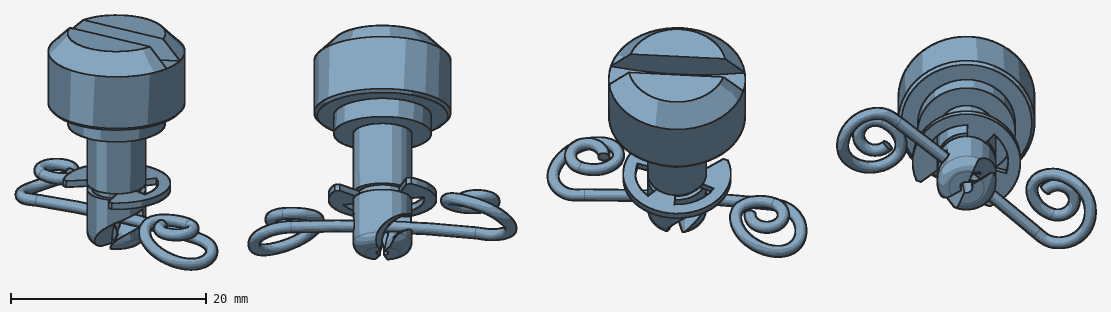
import cadquery as cq
import math

total_height = 23.0
head_radius = 6.993
head_height = 8.0
head_top_chamfer = 2.0
head_bottom_chamfer = 0.3
collar_radius = 5.0
collar_height = 2.0
shank_radius = 3.0
tip_fillet = 1.2
collar_top = total_height - head_height
shank_top = collar_top - collar_height

slot_angle = 20.0
slot_width = 2.52
slot_end_depth = head_top_chamfer
slot_floor_radius = 33.65

groove_radius = 2.5
ring_bottom = 5.8
ring_thickness = 0.7
ring_radius = 5.52
relief_radius = 4.25
back_lug_angle = 110.0
prong_relief_angle = 175.0
tip_y = -3.75
tip_inner_x = 3.53
mouth_half_width = 2.13

cam_end_angle = 26.0
cam_upper_start = -90.0
cam_upper_height = 4.15
cam_lower_start = -53.0
cam_lower_height = 2.47
cam_inner_radius = 0.28
cam_outer_radius = shank_radius + 0.55
cam_bore_radius = 0.62
cam_steps = 12

wire_radius = 0.6
wire_mid_height = 2.9
leg_end_radius = 9.47
leg_end_height = 2.52
coil_height = 4.65
inner_turn_x = 10.03
inner_turn_radius = 1.7
inner_turn_start = 90.0
inner_turn_end = -160.0


def make_blank():
    """Head, collar and shank turned in one piece, with the ring groove."""
    shank = cq.Workplane("XY").circle(shank_radius).extrude(shank_top)
    shank = shank.faces("<Z").edges().fillet(tip_fillet)
    collar = cq.Workplane("XY").workplane(offset=shank_top).circle(collar_radius).extrude(collar_height)
    head = cq.Workplane("XY").workplane(offset=collar_top).circle(head_radius).extrude(head_height)
    head = head.faces(">Z").chamfer(head_top_chamfer)
    head = head.faces("<Z").chamfer(head_bottom_chamfer)
    groove = (
        cq.Workplane("XY").workplane(offset=ring_bottom)
        .circle(shank_radius).circle(groove_radius).extrude(ring_thickness)
    )
    return shank.union(collar).union(head).cut(groove)


def make_driver_slot():
    """Cutter whose arc floor meets the rim of the head at the slot's end depth."""
    end_z = total_height - slot_end_depth
    sag = slot_floor_radius - math.sqrt(slot_floor_radius**2 - head_radius**2)
    return (
        cq.Workplane("XZ")
        .moveTo(-head_radius, end_z)
        .threePointArc((0, end_z - sag), (head_radius, end_z))
        .lineTo(head_radius, total_height)
        .lineTo(-head_radius, total_height)
        .close()
        .extrude(slot_width / 2, both=True)
        .rotate((0, 0, 0), (0, 0, 1), slot_angle)
    )


def cam_edge(radius, start_angle, height):
    """Quarter-ellipse curve wrapped round a cylinder: steep at Z = 0, level at its end."""
    points = []
    for step in range(cam_steps + 1):
        turn = math.pi / 2 * step / cam_steps
        angle = math.radians(cam_end_angle - (cam_end_angle - start_angle) * math.cos(turn))
        points.append(cq.Vector(radius * math.cos(angle), radius * math.sin(angle), height * math.sin(turn)))
    return cq.Edge.makeSpline(points)


def make_cam_groove():
    """Radial cutter between the upper and lower cam curves."""
    corners = [
        cam_edge(cam_outer_radius, cam_upper_start, cam_upper_height),
        cam_edge(cam_outer_radius, cam_lower_start, cam_lower_height),
        cam_edge(cam_inner_radius, cam_lower_start, cam_lower_height),
        cam_edge(cam_inner_radius, cam_upper_start, cam_upper_height),
    ]
    faces = [cq.Face.makeRuledSurface(corners[i - 1], corners[i]) for i in range(4)]
    for end in (0, 1):
        loop = [corner.positionAt(end) for corner in corners]
        faces.append(cq.Face.makeFromWires(cq.Wire.makePolygon(loop, close=True)))
    return cq.Workplane(cq.Solid.makeSolid(cq.Shell.makeShell(faces)).fix())


def make_stud():
    """Stud with driver slot, cam grooves and clearance for the spring wire."""
    stud = make_blank().cut(make_driver_slot())
    for turn in (0, 180):
        stud = stud.cut(make_cam_groove().rotate((0, 0, 0), (0, 0, 1), turn))
    stud = stud.cut(cq.Workplane("XY").circle(cam_bore_radius).extrude(cam_upper_height))
    return stud.cut(sweep_wire([leg_curve()]))


def polar(radius, angle):
    return (radius * math.cos(math.radians(angle)), radius * math.sin(math.radians(angle)))


def make_ring():
    """E-shaped ring open toward -Y, bearing on the groove at a back lug and two prongs."""
    tip_outer_x = math.sqrt(ring_radius**2 - tip_y**2)
    mouth_y = -math.sqrt(groove_radius**2 - mouth_half_width**2)
    plane = cq.Workplane("XY").workplane(offset=ring_bottom)
    ring = (
        plane
        .moveTo(tip_outer_x, tip_y)
        .threePointArc((0, ring_radius), (-tip_outer_x, tip_y))
        .lineTo(-tip_inner_x, tip_y)
        .lineTo(-mouth_half_width, mouth_y)
        .threePointArc((0, groove_radius), (mouth_half_width, mouth_y))
        .lineTo(tip_inner_x, tip_y)
        .close()
        .extrude(ring_thickness)
    )
    middle_angle = (back_lug_angle + prong_relief_angle) / 2
    relief = (
        plane
        .moveTo(*polar(groove_radius, back_lug_angle))
        .lineTo(*polar(relief_radius, back_lug_angle))
        .threePointArc(polar(relief_radius, middle_angle), polar(relief_radius, prong_relief_angle))
        .lineTo(*polar(groove_radius, prong_relief_angle))
        .threePointArc(polar(groove_radius, middle_angle), polar(groove_radius, back_lug_angle))
        .close()
        .extrude(ring_thickness)
    )
    return ring.cut(relief).cut(relief.mirror("YZ"))


def leg_curve():
    """Shallow arch across the stud, from the end of one leg to the end of the other."""
    leg_x, leg_y = polar(leg_end_radius, slot_angle)
    return cq.Edge.makeThreePointArc(
        cq.Vector(-leg_x, -leg_y, leg_end_height),
        cq.Vector(0, 0, wire_mid_height),
        cq.Vector(leg_x, leg_y, leg_end_height),
    )


def inner_turn_point(angle):
    x, y = polar(inner_turn_radius, angle)
    return cq.Vector(inner_turn_x + x, y, coil_height)


def coil_curves():
    """Spiral at the +X end: a rising outer turn, then a level circular inner turn."""
    leg = leg_curve()
    points = [
        leg.positionAt(1),
        cq.Vector(10.32, 3.62, 2.33),
        cq.Vector(12.45, 2.7, 2.02),
        cq.Vector(13.43, 0.03, 1.85),
        cq.Vector(12.47, -2.25, 2.45),
        cq.Vector(10.2, -3.2, 3.35),
        cq.Vector(7.93, -2.47, 4.25),
        cq.Vector(7.04, -0.73, coil_height),
        cq.Vector(8.02, 1.05, coil_height),
        inner_turn_point(inner_turn_start),
    ]
    outer_turn = cq.Edge.makeSpline(points, tangents=[leg.tangentAt(1), cq.Vector(1, 0, 0)], scale=False)
    inner_turn = cq.Edge.makeThreePointArc(
        points[-1],
        inner_turn_point((inner_turn_start + inner_turn_end) / 2),
        inner_turn_point(inner_turn_end),
    )
    return [outer_turn, inner_turn]


def sweep_wire(curves):
    """Round wire along curves joined end to end, the first curve starting at the wire's end."""
    path = cq.Wire.assembleEdges(curves)
    start = cq.Plane(origin=path.startPoint(), normal=path.tangentAt(0))
    return cq.Workplane(start).circle(wire_radius).sweep(cq.Workplane(path))


def make_spring():
    """Wire crossing the stud, with a matching coil at each end."""
    coil = coil_curves()
    far_coil = [curve.rotate(cq.Vector(0, 0, 0), cq.Vector(0, 0, 1), 180) for curve in reversed(coil)]
    return sweep_wire(far_coil + [leg_curve()] + coil)


spring = make_spring()
stud = make_stud()
ring = make_ring()

result = cq.Compound.makeCompound([stud.solids().val(), ring.solids().val(), spring.val()])